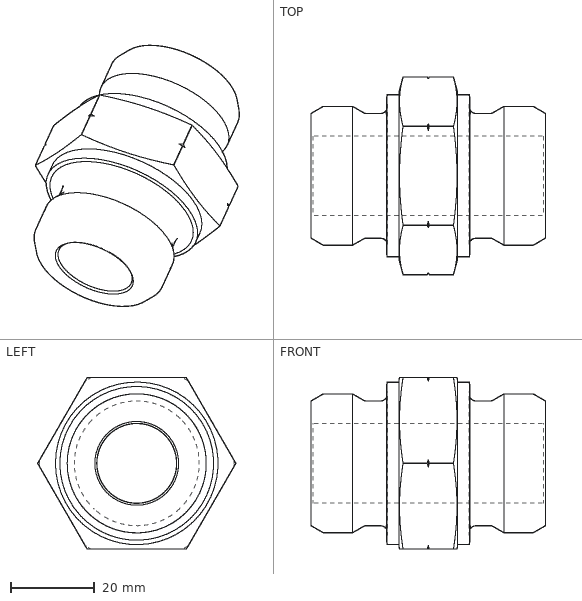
import cadquery as cq
import math

total_length = 56.0
bore_diameter = 19.0
bore_chamfer = 0.5

hex_across_flats = 41.0
hex_corner_diameter = 47.28
hex_width = 14.0
hex_face_diameter = 40.0
hex_chamfer_angle = 15.0

notch_depth = 0.44
notch_half_angle = 30.0

collar_diameter = 38.8
collar_length = 3.0
sealing_edge_diameter = 36.7
sealing_outer_setback = 0.2
sealing_undercut_angle = 10.0

thread_diameter = 33.2
groove_diameter = 29.8
spigot_chamfer_angle = 30.0
thread_length = 7.0

collar_root_radius = 1.7
groove_end_radius = 1.3
thread_crest_radius = 0.75
end_face_radius = 0.3

end_x = total_length / 2
hex_x = hex_width / 2
sealing_edge_x = hex_x + collar_length
bore_radius = bore_diameter / 2
collar_radius = collar_diameter / 2
sealing_edge_radius = sealing_edge_diameter / 2
thread_radius = thread_diameter / 2
groove_radius = groove_diameter / 2

spigot_chamfer_length = (thread_radius - groove_radius) / math.tan(math.radians(spigot_chamfer_angle))
thread_outer_x = end_x - spigot_chamfer_length
thread_inner_x = thread_outer_x - thread_length
groove_end_x = thread_inner_x - spigot_chamfer_length
undercut_depth = (sealing_edge_radius - groove_radius) * math.tan(math.radians(sealing_undercut_angle))
groove_root_x = sealing_edge_x - undercut_depth


def revolve_about_x(points):
    return cq.Workplane("XY").polyline(points).close().revolve(360, (0, 0, 0), (1, 0, 0))


def fillet_circle(body, x, radius, fillet_radius):
    """Blend the pair of circular edges of the given radius at +x and -x."""
    tolerance = 1e-4

    def is_target(edge):
        if edge.geomType() != "CIRCLE":
            return False
        same_radius = abs(edge.radius() - radius) < tolerance
        return same_radius and abs(abs(edge.Center().x) - x) < tolerance

    return body.newObject(body.edges().filter(is_target).vals()).fillet(fillet_radius)


def make_turned_body():
    """Solid spigots, relief grooves and collars in one revolved profile."""
    right_half = [
        (sealing_edge_x - sealing_outer_setback, collar_radius),
        (sealing_edge_x, sealing_edge_radius),
        (groove_root_x, groove_radius),
        (groove_end_x, groove_radius),
        (thread_inner_x, thread_radius),
        (thread_outer_x, thread_radius),
        (end_x, groove_radius),
        (end_x, 0),
    ]
    left_half = [(-x, r) for x, r in reversed(right_half)]
    body = revolve_about_x(left_half + right_half)
    body = fillet_circle(body, groove_root_x, groove_radius, collar_root_radius)
    body = fillet_circle(body, groove_end_x, groove_radius, groove_end_radius)
    body = fillet_circle(body, thread_outer_x, thread_radius, thread_crest_radius)
    return fillet_circle(body, end_x, groove_radius, end_face_radius)


def make_hexagon():
    """Hexagon trimmed by a turned envelope: chamfers, corner diameter and V groove."""
    hex_face_radius = hex_face_diameter / 2
    corner_radius = hex_corner_diameter / 2
    chamfer_length = (corner_radius - hex_face_radius) * math.tan(math.radians(hex_chamfer_angle))
    notch_half_width = notch_depth * math.tan(math.radians(notch_half_angle))
    right_half = [
        (notch_half_width, corner_radius),
        (hex_x - chamfer_length, corner_radius),
        (hex_x, hex_face_radius),
        (hex_x, 0),
    ]
    left_half = [(-x, r) for x, r in reversed(right_half)]
    envelope = revolve_about_x(left_half + [(0, corner_radius - notch_depth)] + right_half)

    sharp_corner_diameter = hex_across_flats / math.cos(math.pi / 6)
    prism = cq.Workplane("YZ").polygon(6, sharp_corner_diameter).extrude(hex_x, both=True)
    return prism.intersect(envelope)


def make_bore():
    """Through bore with a 45 degree chamfer at each mouth."""
    mouth_radius = bore_radius + bore_chamfer
    right_half = [
        (end_x - bore_chamfer, bore_radius),
        (end_x, mouth_radius),
        (end_x, 0),
    ]
    left_half = [(-x, r) for x, r in reversed(right_half)]
    return revolve_about_x(left_half + right_half)


result = make_turned_body().union(make_hexagon()).cut(make_bore())